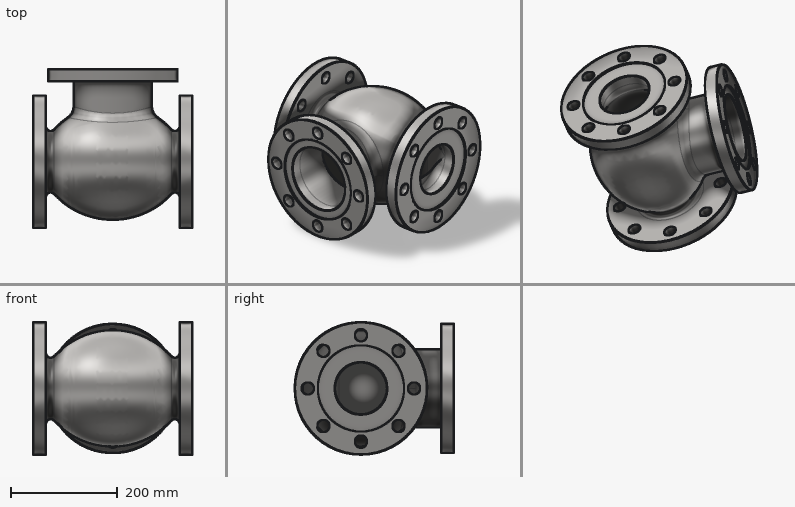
import cadquery as cq
import math

run_length = 298.59
branch_reach = 174.19

run_flange_dia = 248.81
branch_flange_dia = 243.0
flange_thickness = 24.2
flange_chamfer = 1.0
bolt_count = 8
bolt_circle_dia = 199.0
bolt_hole_dia = 22.9
face_recess_dia = 161.8
face_recess_depth = 3.0

body_radius = 109.0
body_arc_radius = 149.0
throat_fillet = 8.75
wall = 10.0
run_bore_dia = 97.0

neck_dia = 147.0
neck_bore_dia = neck_dia - 2 * wall
neck_fillet = 25.0

partition_thickness = wall
partition_bend_radius = 48.5
partition_offset = 14.0

half_length = run_length / 2
flange_back = half_length - flange_thickness
body_arc_centre = body_radius - body_arc_radius


def make_flange(diameter, bore_dia):
    """Bored and drilled flange, mating face on z = 0, thickness towards +Z."""
    rim = diameter / 2
    bore = bore_dia / 2
    recess = face_recess_dia / 2
    flange = (
        cq.Workplane("XZ")
        .polyline([
            (bore, flange_thickness),
            (bore, face_recess_depth + flange_chamfer),
            (bore + flange_chamfer, face_recess_depth),
            (recess, face_recess_depth),
            (recess, 0),
            (rim - flange_chamfer, 0),
            (rim, flange_chamfer),
            (rim, flange_thickness - flange_chamfer),
            (rim - flange_chamfer, flange_thickness),
        ])
        .close()
        .revolve(360, (0, 0, 0), (0, 1, 0))
    )
    holes = (
        cq.Workplane("XY")
        .polarArray(bolt_circle_dia / 2, 0, 360, bolt_count)
        .circle(bolt_hole_dia / 2)
        .extrude(flange_thickness)
    )
    return flange.cut(holes)


def make_barrel():
    """Solid barrel whose outline blends into both run flanges with tangent arcs."""
    throat_x = flange_back - throat_fillet
    centre_distance = body_arc_radius + throat_fillet
    throat_rise = math.sqrt(centre_distance**2 - throat_x**2)
    throat_r = body_arc_centre + throat_rise
    tangent_x = throat_x * body_arc_radius / centre_distance
    tangent_r = body_arc_centre + throat_rise * body_arc_radius / centre_distance
    lowest_r = throat_r - throat_fillet
    return (
        cq.Workplane("XY")
        .moveTo(-flange_back, 0)
        .lineTo(-flange_back, throat_r)
        .radiusArc((-throat_x, lowest_r), -throat_fillet)
        .radiusArc((-tangent_x, tangent_r), -throat_fillet)
        .threePointArc((0, body_radius), (tangent_x, tangent_r))
        .radiusArc((throat_x, lowest_r), -throat_fillet)
        .radiusArc((flange_back, throat_r), -throat_fillet)
        .lineTo(flange_back, 0)
        .close()
        .revolve(360, (0, 0, 0), (1, 0, 0))
    )


def make_shell():
    """Barrel with the filleted branch neck and the three flanges."""
    neck_length = branch_reach - flange_thickness
    neck = cq.Workplane("XZ").circle(neck_dia / 2).extrude(-neck_length)
    shell = make_barrel().union(neck)
    junction = cq.selectors.BoxSelector(
        (-neck_dia, wall, -neck_dia), (neck_dia, neck_length - wall, neck_dia), boundingbox=True
    )
    shell = shell.edges(junction).fillet(neck_fillet)

    run_flange = make_flange(run_flange_dia, run_bore_dia)
    run_flange = run_flange.rotate((0, 0, 0), (0, 1, 0), 90).translate((-half_length, 0, 0))
    branch_flange = make_flange(branch_flange_dia, neck_bore_dia)
    branch_flange = branch_flange.rotate((0, 0, 0), (1, 0, 0), 90).translate((0, branch_reach, 0))
    return shell.union(run_flange).union(run_flange.mirror("YZ")).union(branch_flange)


def make_partition():
    """Upright curved plate: tangent to the -X bore, then slanted at 45 degrees."""
    bore_side = -run_bore_dia / 2
    diagonal = math.sqrt(0.5)
    bend_y = bore_side + partition_bend_radius * (1 - diagonal)
    bend_end = (bend_y - partition_offset, bend_y)
    bend_start = (bend_end[0] - partition_bend_radius * diagonal, bore_side)
    path = (
        cq.Workplane("XY")
        .moveTo(-half_length, bore_side)
        .lineTo(*bend_start)
        .radiusArc(bend_end, -partition_bend_radius)
        .lineTo(body_radius, body_radius + partition_offset)
    )
    section = cq.Workplane("YZ", origin=(-half_length, bore_side - partition_thickness / 2, 0))
    return section.rect(partition_thickness, 2 * body_radius).sweep(path)


def make_cavity():
    """Chamber flaring out of both run bores, joined by the branch bore, less the partition."""
    bore_r = run_bore_dia / 2
    inner_radius = body_arc_radius - wall
    rise = bore_r - body_arc_centre
    flare_radius = (rise**2 + flange_back**2 - inner_radius**2) / (2 * (inner_radius - rise))
    share = inner_radius / (inner_radius + flare_radius)
    flare_end_x = flange_back * share
    flare_end_r = body_arc_centre + (rise + flare_radius) * share
    chamber = (
        cq.Workplane("XY")
        .moveTo(-flange_back, 0)
        .lineTo(-flange_back, bore_r)
        .radiusArc((-flare_end_x, flare_end_r), -flare_radius)
        .threePointArc((0, body_radius - wall), (flare_end_x, flare_end_r))
        .radiusArc((flange_back, bore_r), -flare_radius)
        .lineTo(flange_back, 0)
        .close()
        .revolve(360, (0, 0, 0), (1, 0, 0))
    )
    branch_bore = cq.Workplane("XZ").circle(neck_bore_dia / 2).extrude(-(branch_reach - flange_thickness))
    return chamber.union(branch_bore).cut(make_partition())


result = make_shell().cut(make_cavity())